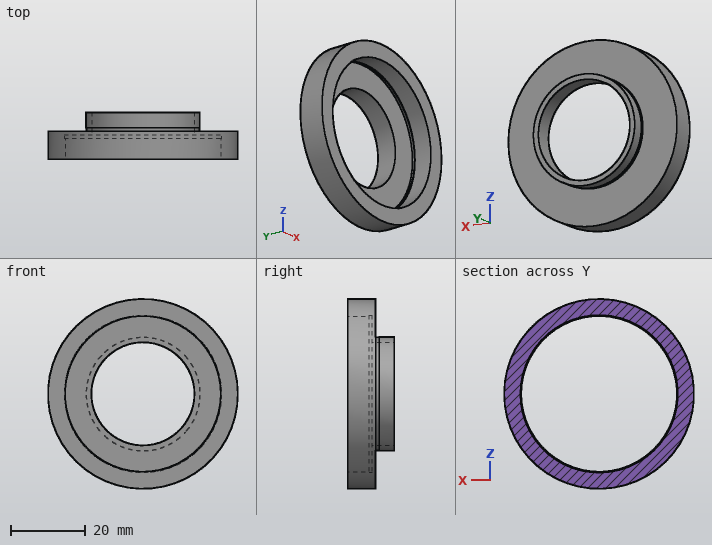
import cadquery as cq

flange_diameter = 50.8
flange_thickness = 7.5

spigot_diameter = 30.5
spigot_length = 5.0
relief_diameter = 30.3
relief_width = 0.9

recess_diameter = 41.6
recess_depth = 6.5
undercut_diameter = 42.0
undercut_width = 0.9

bore_diameter = 27.5

total_length = flange_thickness + spigot_length


def disc(diameter, start, length):
    """Cylinder about the Y axis, from y = start to y = start + length."""
    plane = cq.Workplane("XZ", origin=(0, start, 0))
    return plane.circle(diameter / 2).extrude(-length)


def make_body():
    flange = disc(flange_diameter, 0, flange_thickness)
    relief = disc(relief_diameter, flange_thickness, relief_width)
    collar_start = flange_thickness + relief_width
    collar = disc(spigot_diameter, collar_start, spigot_length - relief_width)
    return flange.union(relief).union(collar)


def make_cavity():
    recess = disc(recess_diameter, 0, recess_depth)
    undercut = disc(undercut_diameter, recess_depth - undercut_width, undercut_width)
    bore = disc(bore_diameter, 0, total_length)
    return recess.union(undercut).union(bore)


result = make_body().cut(make_cavity())